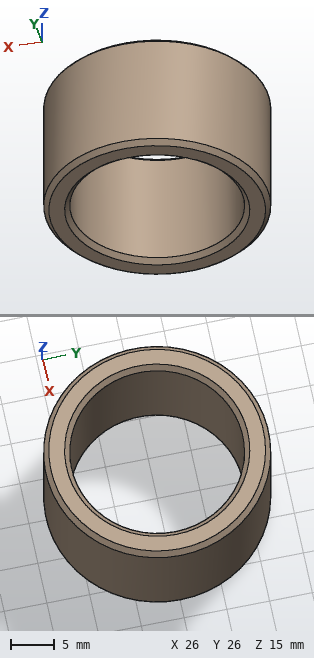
import cadquery as cq

outer_diameter = 26.0
bore_diameter = 20.0
height = 15.0
edge_chamfer = 0.6

sleeve = (
    cq.Workplane("XY")
    .circle(outer_diameter / 2)
    .circle(bore_diameter / 2)
    .extrude(height)
)

result = sleeve.faces("|Z").edges().chamfer(edge_chamfer)